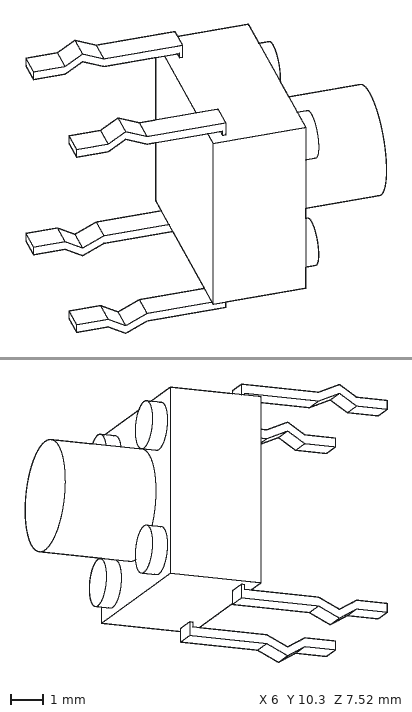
import cadquery as cq

overall_length = 10.32
body_side = 6.0
body_depth = 3.0
half_side = body_side / 2

plunger_diameter = 3.5
plunger_height = 3.0
boss_diameter = 1.5
boss_height = 0.5
boss_offset = 2.0

lead_width = 0.8
lead_thickness = 0.29
lead_offset = 2.25
lead_gap = 0.15
root_thickness = 0.1
root_setback = 0.52
bend_start = 2.03
bend_crest = 2.72
bend_end = 3.29
lead_reach = overall_length - body_depth - plunger_height
crest_rise = 0.32
tip_drop = 0.03

body = cq.Workplane("XY").box(body_side, body_depth, body_side, centered=(True, False, True))


def post(x, z, diameter, height):
    """Cylinder standing on the housing's +Y face."""
    direction = cq.Vector(0, 1, 0)
    base = cq.Vector(x, body_depth, z)
    return cq.Workplane(cq.Solid.makeCylinder(diameter / 2, height, base, direction))


def make_top_lead(x):
    """Lead on the +Z face, centred at x."""
    inner = half_side + lead_gap
    underside = [
        (root_setback - root_thickness, inner),
        (-bend_start, inner),
        (-bend_crest, inner + crest_rise),
        (-bend_end, inner - tip_drop),
        (-lead_reach, inner - tip_drop),
    ]
    upperside = [(y, z + lead_thickness) for y, z in reversed(underside[1:])]
    root = [
        (root_setback, inner + lead_thickness),
        (root_setback, half_side),
        (root_setback - root_thickness, half_side),
    ]
    return (
        cq.Workplane("YZ", origin=(x, 0, 0))
        .polyline(underside + upperside + root)
        .close()
        .extrude(lead_width / 2, both=True)
    )


result = body.union(post(0, 0, plunger_diameter, plunger_height))

for x_side in (-1, 1):
    for z_side in (-1, 1):
        boss = post(x_side * boss_offset, z_side * boss_offset, boss_diameter, boss_height)
        result = result.union(boss)

for x_side in (-1, 1):
    top_lead = make_top_lead(x_side * lead_offset)
    result = result.union(top_lead).union(top_lead.mirror("XY"))